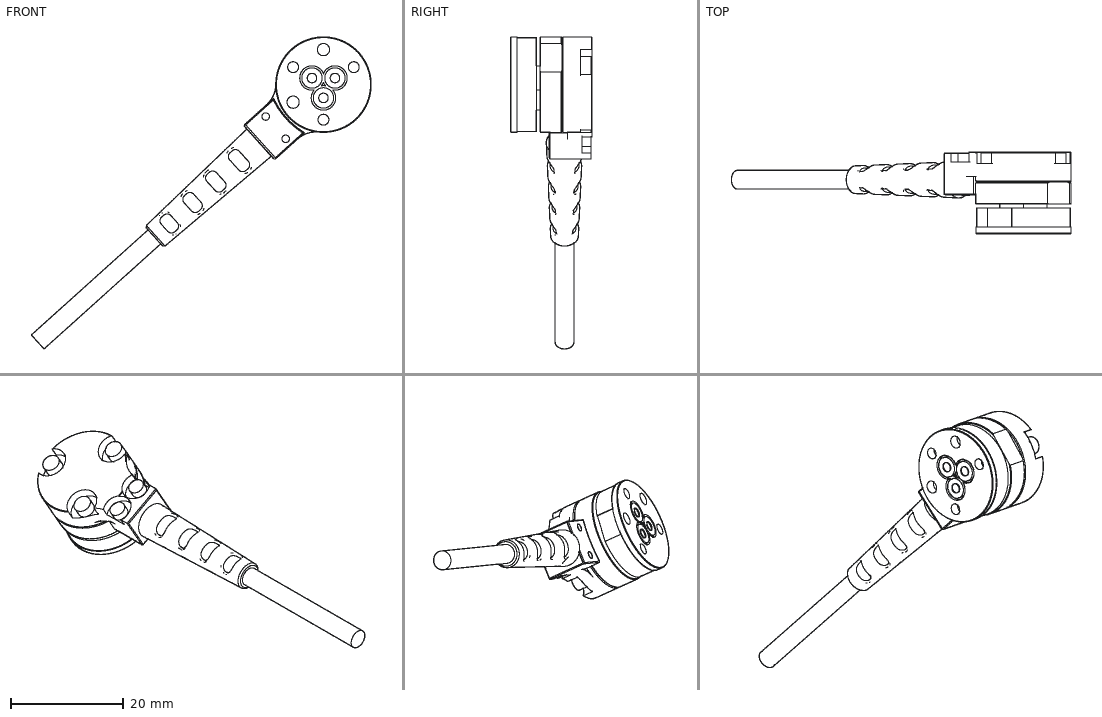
import cadquery as cq
import math


disc_diameter = 17.0
disc_radius = disc_diameter / 2
rear_disc_front = 5.3
groove_chamfer = 0.2
middle_disc_front = 9.25
plate_back = 9.9
flange_back = 13.3
stack_depth = 14.5
plate_radius = 8.35
edge_chamfer = 0.1

flat_distance = 7.85
middle_flat_angle = 37.5
label_flat_angles = (120, 210)
label_flat_end = 2.2

connector_pitch_radius = 2.35
connector_radius = 2.2
connector_face_radius = 1.8
connector_groove_depth = 0.6
socket_radius = 0.85
socket_depth = 0.2
connector_angles = (30, 150, 270)

hole_pitch_radius = 6.2
small_hole_radius = 0.95
small_hole_angles = (30, 150, 270)
large_hole_radius = 1.1
large_hole_angles = (90, 210)
hole_depth = 1.8
drill_tip_angle = 118

disc_head_radius = 1.6
disc_screw_pitch_radius = 6.9
disc_screw_angles = (30, 150, 270)
disc_pocket_radius = 2.85
disc_pocket_depth = 2.05
block_screw_distance = 11.45
block_screw_offset = 2.65
block_head_radius = 1.4
block_pocket_radius = 2.6
block_pocket_depth = 1.75
pocket_sink = 0.2
screw_tip_radius = 0.65
screw_tip_height = 0.05

arm_angle = 42
neck_end = 9.9
neck_depth = 4.35
block_half_width = 4.1
block_back = 0.2
block_front = 7.6
block_end = 15.4
block_chamfer = 0.2
block_start_middle = 8.8
block_start_side = 8.2

cable_depth = 4.9
cable_radius = 1.7
cable_end = 68.4
sleeve_end = 40.45
sleeve_start_radius = 3.25
sleeve_end_radius = 2.5
sleeve_chamfer = 0.3

grip_count = 4
first_grip = 20.2
grip_pitch = 5.55
grip_width = 2.3
first_grip_length = 4.25
grip_length_step = 0.25
grip_corner = 0.9
grip_rim_fillet = 0.25
grip_depth = 0.5

arm_cos = math.cos(math.radians(arm_angle))
arm_sin = math.sin(math.radians(arm_angle))
arm_direction = cq.Vector(-arm_cos, 0, -arm_sin)


def stack_plane(depth):
    """Plane across the stack axis: local x is X, local y is Z, extrusion goes to -Y."""
    return cq.Workplane(cq.Plane((0, -depth, 0), (1, 0, 0), (0, -1, 0)))


def arm_plane(depth):
    """Same plane turned so that local x runs out along the arm."""
    return cq.Workplane(cq.Plane((0, -depth, 0), arm_direction, (0, -1, 0)))


def cable_plane(distance):
    """Plane across the cable axis; local x points to -Y, extrusion goes outwards."""
    origin = arm_direction * distance + cq.Vector(0, -cable_depth, 0)
    return cq.Workplane(cq.Plane(origin, (0, -1, 0), arm_direction))


def polar(radius, angles):
    """Points at the given angles (degrees) on a circle about the stack axis."""
    return [(radius * math.cos(math.radians(a)), radius * math.sin(math.radians(a))) for a in angles]


def cylinder(radius, back, front):
    return stack_plane(back).circle(radius).extrude(front - back)


def flat_cut(angle, back, front, start):
    """Stock outside a flat whose normal points at angle, beginning at start along the flat."""
    return (
        stack_plane(back)
        .transformed(rotate=(0, 0, angle))
        .moveTo(flat_distance, start)
        .rect(disc_radius, 2 * disc_radius, centered=False)
        .extrude(front - back)
    )


def rear_discs():
    """Two discs with a V groove between them and a flat on the middle one."""
    rear = cylinder(disc_radius, 0, rear_disc_front)
    rear = rear.faces(">Y").chamfer(edge_chamfer).faces("<Y").chamfer(groove_chamfer)
    middle = cylinder(disc_radius, rear_disc_front, middle_disc_front)
    middle = middle.faces("<Y").chamfer(edge_chamfer).faces(">Y").chamfer(groove_chamfer)
    middle = middle.cut(flat_cut(middle_flat_angle, rear_disc_front, middle_disc_front, -disc_radius))
    return rear.union(middle)


def front_plate():
    plate = cylinder(plate_radius, plate_back, flange_back)
    for angle in label_flat_angles:
        plate = plate.cut(flat_cut(angle, plate_back, flange_back, -label_flat_end))
    flange = cylinder(disc_radius, flange_back, stack_depth).faces("<Y").chamfer(edge_chamfer)
    return plate.union(flange)


def connector_cylinders(radius, back, front):
    """One cylinder at each connector position, merged where they overlap."""
    merged = cq.Workplane("XY")
    for x, z in polar(connector_pitch_radius, connector_angles):
        merged = merged.union(cylinder(radius, back, front).translate((x, 0, z)))
    return merged


def connector_recesses():
    """Ring grooves and shallow round sockets in the front face."""
    groove_back = stack_depth - connector_groove_depth
    rings = connector_cylinders(connector_radius, groove_back, stack_depth)
    faces = connector_cylinders(connector_face_radius, groove_back, stack_depth)
    sockets = connector_cylinders(socket_radius, stack_depth - socket_depth, stack_depth)
    return rings.cut(faces).union(sockets)


def drilled_holes(radius, angles):
    tip_height = radius / math.tan(math.radians(drill_tip_angle / 2))
    drill = (
        cq.Workplane("XY")
        .polyline([(0, -stack_depth), (radius, -stack_depth), (radius, hole_depth - stack_depth),
                   (0, hole_depth + tip_height - stack_depth)])
        .close()
        .revolve(360, (0, 0, 0), (0, 1, 0))
    )
    holes = cq.Workplane("XY")
    for x, z in polar(hole_pitch_radius, angles):
        holes = holes.add(drill.translate((x, 0, z)))
    return holes.combine()


def neck():
    """Plate from the rear disc to the block, flaring into the disc with tangent arcs."""
    flare_radius = (neck_end**2 + block_half_width**2 - disc_radius**2) / (
        2 * (disc_radius - block_half_width)
    )
    flare_offset = block_half_width + flare_radius
    ratio = disc_radius / (disc_radius + flare_radius)
    tangent = (neck_end * ratio, flare_offset * ratio)
    to_disc = math.atan2(-flare_offset, -neck_end)
    mid_angle = (to_disc - math.pi / 2) / 2
    middle = (
        neck_end + flare_radius * math.cos(mid_angle),
        flare_offset + flare_radius * math.sin(mid_angle),
    )
    return (
        arm_plane(0)
        .moveTo(0, 0)
        .lineTo(*tangent)
        .threePointArc(middle, (neck_end, block_half_width))
        .lineTo(neck_end, -block_half_width)
        .threePointArc((middle[0], -middle[1]), (tangent[0], -tangent[1]))
        .close()
        .extrude(neck_depth)
    )


def block():
    """Cable block whose inner end curves around the stack."""
    far_end = cq.selectors.DirectionMinMaxSelector(arm_direction)
    return (
        arm_plane(block_back)
        .moveTo(block_end, block_half_width)
        .lineTo(block_start_side, block_half_width)
        .threePointArc((block_start_middle, 0), (block_start_side, -block_half_width))
        .lineTo(block_end, -block_half_width)
        .close()
        .extrude(block_front - block_back)
        .faces(far_end)
        .chamfer(block_chamfer)
        .faces("<Y")
        .chamfer(block_chamfer)
    )


def sleeve_cone(inset):
    """Tapered body of the sleeve, shrunk all round by inset."""
    return (
        arm_plane(cable_depth)
        .moveTo(block_end, 0)
        .lineTo(block_end, sleeve_start_radius - inset)
        .lineTo(sleeve_end, sleeve_end_radius - inset)
        .lineTo(sleeve_end, 0)
        .close()
        .revolve(360, (0, 0, 0), (1, 0, 0))
    )


def sleeve():
    """Tapered sleeve with rounded pockets of even depth on its front and back."""
    far_end = cq.selectors.DirectionMinMaxSelector(arm_direction)
    body = sleeve_cone(0).faces(far_end).chamfer(sleeve_chamfer)
    core = sleeve_cone(grip_depth)
    for i in range(grip_count):
        front_grip = (
            arm_plane(cable_depth)
            .center(first_grip + i * grip_pitch, 0)
            .rect(grip_width, first_grip_length - i * grip_length_step)
            .extrude(sleeve_start_radius)
            .edges("|Y")
            .fillet(grip_corner)
            .cut(core)
        )
        back_grip = front_grip.mirror("XZ", (0, -cable_depth, 0))
        body = body.cut(front_grip).cut(back_grip)
    outer_surface = max(body.faces("%CONE").vals(), key=lambda face: face.Area())
    rims = [edge for edge in outer_surface.Edges() if edge.geomType() not in ("CIRCLE", "LINE")]
    return body.newObject(rims).fillet(grip_rim_fillet)


def cable():
    return cable_plane(block_end).circle(cable_radius).extrude(cable_end - block_end)


def sink_screws(body, plane, centres, head_radius, pocket_radius, pocket_depth):
    """Cut round pockets into the back and stand a screw head in each."""
    for centre in centres:
        body = body.cut(plane(0).moveTo(*centre).circle(pocket_radius).extrude(pocket_depth))
    for centre in centres:
        head = plane(pocket_sink).moveTo(*centre).circle(head_radius).extrude(pocket_depth - pocket_sink)
        body = body.union(head)
    return body


block_screws = [(block_screw_distance, side * block_screw_offset) for side in (1, -1)]
disc_screws = polar(disc_screw_pitch_radius, disc_screw_angles)

screw_tips = (
    arm_plane(block_front)
    .pushPoints(block_screws)
    .circle(screw_tip_radius)
    .extrude(screw_tip_height)
)

back_body = rear_discs().union(neck()).union(block())
back_body = sink_screws(
    back_body, stack_plane, disc_screws, disc_head_radius, disc_pocket_radius, disc_pocket_depth
)
back_body = sink_screws(
    back_body, arm_plane, block_screws, block_head_radius, block_pocket_radius, block_pocket_depth
)

plate = front_plate().cut(connector_recesses())
plate = plate.cut(drilled_holes(small_hole_radius, small_hole_angles))
plate = plate.cut(drilled_holes(large_hole_radius, large_hole_angles))

result = (
    back_body
    .union(connector_cylinders(connector_radius, middle_disc_front, plate_back))
    .union(plate)
    .union(screw_tips)
    .union(sleeve())
    .union(cable())
)